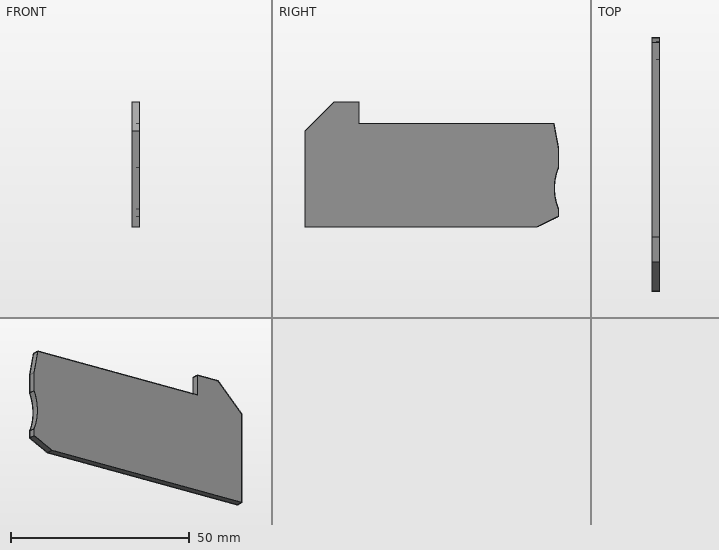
import cadquery as cq

thickness = 2.2
length = 71.0
height = 35.1

front_y = -length / 2
back_y = length / 2
base_z = -height / 2
tab_top_z = height / 2

tab_length = 15.2
tab_height = 6.0
tab_chamfer = 8.2
body_top_z = tab_top_z - tab_height
tab_back_y = front_y + tab_length

lower_slope_length = 6.1
lower_slope_height = 3.0
upper_slope_length = 1.3
upper_slope_height = 6.8

scoop_bottom = 5.1
scoop_top = 16.7
scoop_depth = 1.15
scoop_middle = (scoop_bottom + scoop_top) / 2

result = (
    cq.Workplane("YZ")
    .moveTo(front_y, base_z)
    .lineTo(back_y - lower_slope_length, base_z)
    .lineTo(back_y, base_z + lower_slope_height)
    .lineTo(back_y, base_z + scoop_bottom)
    .threePointArc(
        (back_y - scoop_depth, base_z + scoop_middle),
        (back_y, base_z + scoop_top),
    )
    .lineTo(back_y, body_top_z - upper_slope_height)
    .lineTo(back_y - upper_slope_length, body_top_z)
    .lineTo(tab_back_y, body_top_z)
    .lineTo(tab_back_y, tab_top_z)
    .lineTo(front_y + tab_chamfer, tab_top_z)
    .lineTo(front_y, tab_top_z - tab_chamfer)
    .close()
    .extrude(thickness / 2, both=True)
)